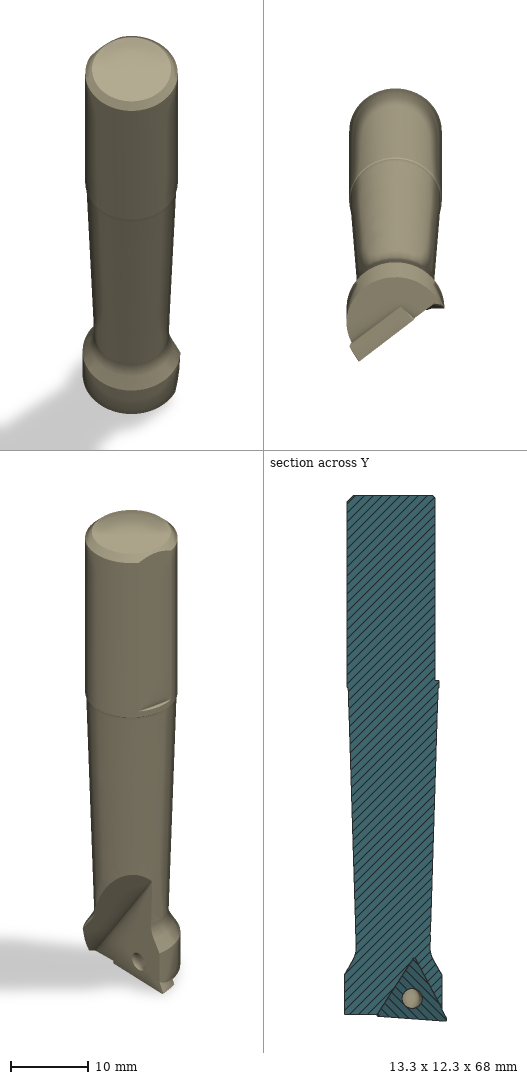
import cadquery as cq
import math

overall_length = 68.05

shank_radius = 12.0 / 2
shank_length = 25.0
shank_top_chamfer = 0.9
shank_bottom_chamfer = 0.15
flat_width = 5.1
flat_length = 23.95
shank_bottom = overall_length - shank_length

neck_top_radius = shank_radius - shank_bottom_chamfer
neck_bottom_radius = 4.8
neck_bottom = 10.0
flare_top = 7.9
flare_angle = 30.0
head_radius = 6.3
head_top = 6.05
head_bottom = 0.9

flute_top = 18.2
floor_azimuth = 147.0
floor_slope = 26.0
cutter_size = 54.45

insert_side = 9.5
insert_thickness = 2.4
insert_nose_radius = 0.2
insert_relief = 7.0
insert_hole_diameter = 2.5
insert_tip_x = -7.0
insert_tip_y = -0.15
insert_lead_angle = 3.0
wall_turn = 10.0

turn = math.radians(wall_turn)
wall_plane = cq.Plane(
    origin=(insert_tip_x + insert_nose_radius, insert_tip_y, insert_nose_radius),
    xDir=(math.cos(turn), math.sin(turn), 0),
    normal=(math.sin(turn), -math.cos(turn), 0),
)


def turned_blank():
    flare_top_radius = head_radius - (flare_top - head_top) * math.tan(math.radians(flare_angle))
    return (
        cq.Workplane("XZ")
        .moveTo(0, head_bottom)
        .lineTo(head_radius, head_bottom)
        .lineTo(head_radius, head_top)
        .lineTo(flare_top_radius, flare_top)
        .tangentArcPoint((neck_bottom_radius, neck_bottom), relative=False)
        .lineTo(neck_top_radius, shank_bottom)
        .lineTo(shank_radius, shank_bottom + shank_bottom_chamfer)
        .lineTo(shank_radius, overall_length - shank_top_chamfer)
        .lineTo(shank_radius - shank_top_chamfer, overall_length)
        .lineTo(0, overall_length)
        .close()
        .revolve(360, (0, 0, 0), (0, 1, 0))
    )


def clamping_flat():
    flat_distance = math.sqrt(shank_radius**2 - (flat_width / 2) ** 2)
    return (
        cq.Workplane("XY", origin=(-shank_radius, 0, overall_length - flat_length))
        .rect(2 * (shank_radius - flat_distance), 2 * shank_radius)
        .extrude(flat_length)
    )


def chip_flute():
    runout_fraction = (flute_top - neck_bottom) / (shank_bottom - neck_bottom)
    runout_radius = neck_bottom_radius + runout_fraction * (neck_top_radius - neck_bottom_radius)
    azimuth = math.radians(floor_azimuth)
    slope = math.radians(floor_slope)
    floor_plane = cq.Plane(
        origin=(runout_radius * math.cos(azimuth), runout_radius * math.sin(azimuth), flute_top),
        xDir=(-math.sin(azimuth), math.cos(azimuth), 0),
        normal=(
            math.cos(slope) * math.cos(azimuth),
            math.cos(slope) * math.sin(azimuth),
            -math.sin(slope),
        ),
    )
    outside_floor = cq.Workplane(floor_plane).rect(cutter_size, cutter_size).extrude(cutter_size)
    above_wall = cq.Workplane(wall_plane).rect(cutter_size, cutter_size).extrude(-cutter_size)
    return outside_floor.intersect(above_wall)


nose_spacing = insert_side - 2 * math.sqrt(3) * insert_nose_radius


def point_from_tip(distance, angle):
    direction = math.radians(insert_lead_angle + angle)
    return (distance * math.cos(direction), distance * math.sin(direction))


def insert_blank():
    nose_centres = [(0, 0), point_from_tip(nose_spacing, 0), point_from_tip(nose_spacing, 60)]
    return (
        cq.Workplane(wall_plane)
        .polyline(nose_centres)
        .close()
        .offset2D(insert_nose_radius)
        .extrude(insert_thickness, taper=insert_relief)
    )


def cutting_insert():
    hole = (
        cq.Workplane(wall_plane)
        .center(*point_from_tip(nose_spacing / math.sqrt(3), 30))
        .circle(insert_hole_diameter / 2)
        .extrude(insert_thickness)
    )
    return insert_blank().cut(hole)


def tool_holder():
    return turned_blank().cut(clamping_flat()).cut(chip_flute()).cut(insert_blank())


holder = tool_holder()
insert = cutting_insert()

result = cq.Compound.makeCompound([*holder.solids().vals(), *insert.solids().vals()])